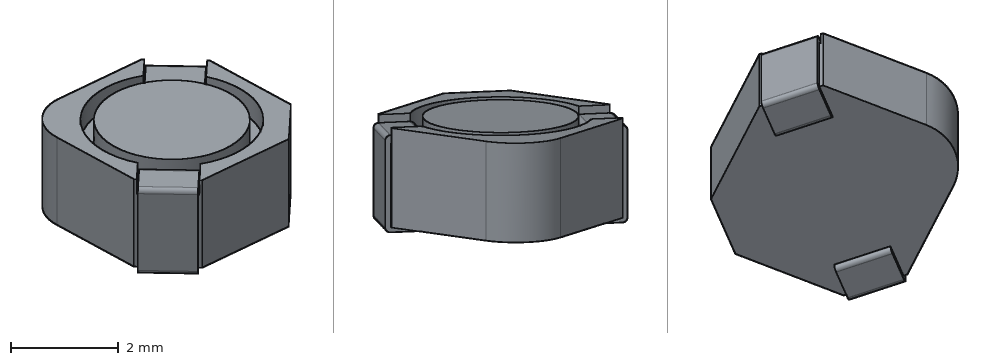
import cadquery as cq
import math

overall_width = 4.04
overall_height = 2.0
body_width = 4.0
corner_chamfer = 0.895
corner_radius = 1.0
foot_thickness = 0.11

core_radius = 1.45
groove_radius = 1.7
groove_depth = 0.485

clip_width = 1.12
clip_reach = 0.79
clip_top_drop = 0.15
clip_plate_thickness = 0.16
clip_edge_radius = 0.095
notch_clearance = 0.025

chamfer_distance = (body_width - corner_chamfer) / math.sqrt(2)
clip_outer = overall_width / math.sqrt(2) - clip_width / 2
clip_inner = clip_outer - clip_reach

clip_top = overall_height - clip_top_drop
notch_floor = clip_top - clip_plate_thickness
clip_angles = (-45, 135)


def make_body():
    block = (
        cq.Workplane("XY")
        .workplane(offset=foot_thickness)
        .rect(body_width, body_width)
        .extrude(overall_height - foot_thickness)
    )
    rounded = block.edges("|Z and <X and <Y").fillet(corner_radius)
    return (
        rounded.edges("|Z and ((>X and >Y) or (>X and <Y) or (<X and >Y))")
        .chamfer(corner_chamfer)
    )


def make_groove():
    return (
        cq.Workplane("XY")
        .workplane(offset=overall_height - groove_depth)
        .circle(groove_radius)
        .circle(core_radius)
        .extrude(groove_depth)
    )


def radial_box(inner, outer, width, bottom, top):
    """Box along +X from inner to outer, centred on the X axis."""
    return cq.Workplane("XY").box(
        outer - inner, width, top - bottom, centered=(False, True, False)
    ).translate((inner, 0, bottom))


def make_notch():
    """Channel for the clip's upper plate, from the groove out through the corner."""
    width = clip_width + 2 * notch_clearance
    return radial_box(clip_inner, clip_outer, width, notch_floor, overall_height)


def make_clip():
    """C-shaped strip wrapping the corner, with rounded outside bends and ends."""
    strip = radial_box(clip_inner, clip_outer, clip_width, 0, clip_top)
    strip = strip.edges("|Y").fillet(clip_edge_radius)
    inside = radial_box(
        clip_inner, chamfer_distance, clip_width, foot_thickness, notch_floor
    )
    return strip.cut(inside)


def at_angle(shape, angle):
    return shape.rotate((0, 0, 0), (0, 0, 1), angle)


result = make_body().cut(make_groove())
for angle in clip_angles:
    result = result.cut(at_angle(make_notch(), angle))
    result = result.union(at_angle(make_clip(), angle))